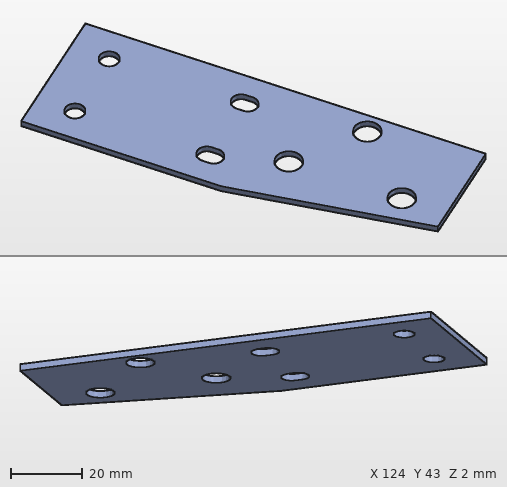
import cadquery as cq

length = 124.0
width = 43.0
thickness = 2.0
taper_start = length / 2
taper_rise = 10.9

small_diameter = 6.0
slot_length = 8.0
row_inset = 10.0
row_heights = (row_inset, width - row_inset)
small_hole_x = 12.0
slot_x = 53.9

large_diameter = 8.0
upper_hole_x = 90.0
upper_hole_y = width - 6.0
lower_hole_xs = (75.0, 110.0)
lower_hole_y = width - 26.0


def make_plate():
    outline = [
        (0, 0),
        (taper_start, 0),
        (length, taper_rise),
        (length, width),
        (0, width),
    ]
    return cq.Workplane("XY").polyline(outline).close().extrude(thickness)


def round_cutters(centers, diameter):
    return cq.Workplane("XY").pushPoints(centers).circle(diameter / 2).extrude(thickness)


def slot_cutters(centers):
    return cq.Workplane("XY").pushPoints(centers).slot2D(slot_length, small_diameter).extrude(thickness)


small_centers = [(small_hole_x, y) for y in row_heights]
slot_centers = [(slot_x, y) for y in row_heights]
large_centers = [(upper_hole_x, upper_hole_y)]
large_centers += [(x, lower_hole_y) for x in lower_hole_xs]

result = (
    make_plate()
    .cut(round_cutters(small_centers, small_diameter))
    .cut(slot_cutters(slot_centers))
    .cut(round_cutters(large_centers, large_diameter))
)